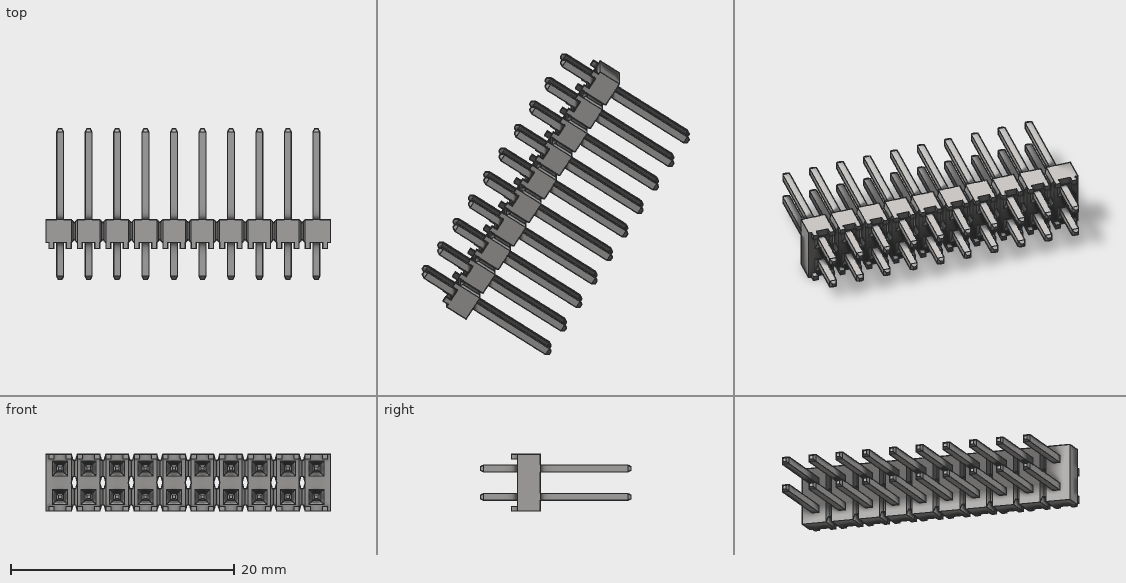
import cadquery as cq

columns = 10
rows = 2
pitch = 2.55
row_length = columns * pitch
height = rows * pitch

total_length = 13.45
pin_front = -total_length / 2
pin_back = total_length / 2
front_pin_length = 3.3
body_depth = 2.05
body_front = pin_front + front_pin_length
body_back = body_front + body_depth
body_middle = (body_front + body_back) / 2

pin_width = 0.64
tip_width = 0.3
tip_length = 0.3

cell_width = 2.0
gap = pitch - cell_width
end_margin = gap / 2

groove_depth = 0.28
notch_depth = 0.53
notch_floor = 0.23

foot_width = 0.45
foot_height = 0.43
foot_length = 0.53

recess_width = 1.32
recess_depth = 0.25


def centres(count):
    """Positions of evenly pitched items about zero."""
    return [(i - (count - 1) / 2) * pitch for i in range(count)]


def square_taper(start_width, end_width, length):
    """Square frustum starting at the origin and running along +Y."""
    return (
        cq.Workplane("XZ")
        .rect(start_width, start_width)
        .workplane(offset=-length)
        .rect(end_width, end_width)
        .loft(ruled=True)
    )


def make_pin():
    """Square pin with a tapered tip at each end, centred on the origin."""
    shank = cq.Workplane("XY").box(pin_width, total_length - 2 * tip_length, pin_width)
    front_tip = square_taper(tip_width, pin_width, tip_length).translate((0, pin_front, 0))
    back_tip = square_taper(pin_width, tip_width, tip_length).translate((0, pin_back - tip_length, 0))
    return shank.union(front_tip).union(back_tip)


def make_column():
    """Cell at X = 0 with its four feet, recesses and pins."""
    column = cq.Workplane("XY").box(cell_width, body_depth, height).translate((0, body_middle, 0))

    foot = cq.Workplane("XY").box(foot_width, foot_length, foot_height)
    foot_x = (cell_width - foot_width) / 2
    foot_y = body_front - foot_length / 2
    foot_z = (height - foot_height) / 2
    for x in (-foot_x, foot_x):
        for z in (-foot_z, foot_z):
            column = column.union(foot.translate((x, foot_y, z)))

    recess = square_taper(recess_width, pin_width, recess_depth).translate((0, body_front, 0))
    pin = make_pin()
    for z in centres(rows):
        column = column.cut(recess.translate((0, 0, z))).union(pin.translate((0, 0, z)))
    return column


def make_bridge():
    """Link across one gap in one row, V-grooved front and back and notched above and below."""
    end_x = gap / 2
    floor_x = notch_floor / 2
    outer_y = body_depth / 2
    groove_y = outer_y - groove_depth
    outer_z = pitch / 2
    notch_z = outer_z - notch_depth

    grooved = (
        cq.Workplane("XY")
        .polyline(
            [
                (-end_x, -outer_y),
                (0, -groove_y),
                (end_x, -outer_y),
                (end_x, outer_y),
                (0, groove_y),
                (-end_x, outer_y),
            ]
        )
        .close()
        .extrude(outer_z, both=True)
    )
    notched = (
        cq.Workplane("XZ")
        .polyline(
            [
                (-end_x, -outer_z),
                (-floor_x, -notch_z),
                (floor_x, -notch_z),
                (end_x, -outer_z),
                (end_x, outer_z),
                (floor_x, notch_z),
                (-floor_x, notch_z),
                (-end_x, outer_z),
            ]
        )
        .close()
        .extrude(outer_y, both=True)
    )
    return grooved.intersect(notched).translate((0, body_middle, 0))


column = make_column()
bridge = make_bridge()
end_wall = cq.Workplane("XY").box(end_margin, body_depth, height)
end_wall_x = (row_length - end_margin) / 2

pieces = [column.translate((x, 0, 0)).val() for x in centres(columns)]
pieces += [bridge.translate((x, 0, z)).val() for x in centres(columns - 1) for z in centres(rows)]
pieces += [end_wall.translate((x, body_middle, 0)).val() for x in (-end_wall_x, end_wall_x)]

result = cq.Workplane(pieces[0].fuse(*pieces[1:]).clean())